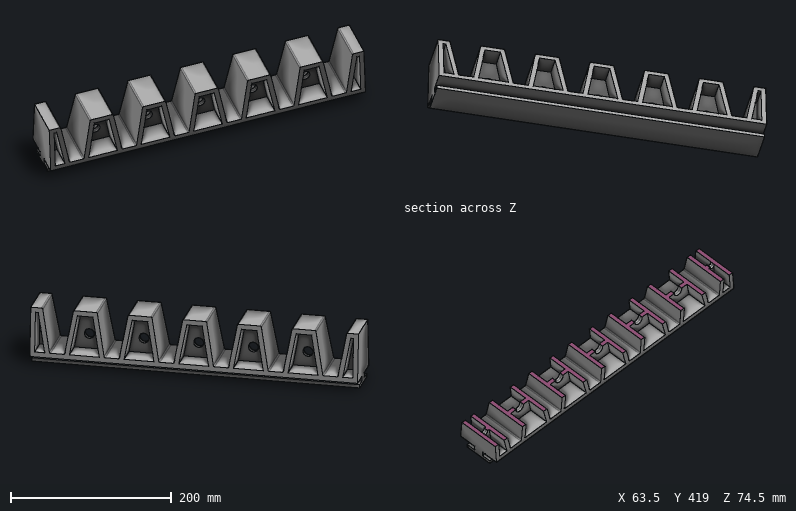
import cadquery as cq

length = 419.0
height = 74.5
base_width = 63.5
crest_width = 52.5

foot_width = 40.0
foot_height = 4.5
neck_width = 14.0
plate_bottom = 11.0

wall = 6.3
valley_floor = plate_bottom + wall
gap_count = 6
pitch = length / gap_count
tooth_crest = 30.5
tooth_root = 50.7
edge_radius = 1.5

pocket_top = height - wall
pocket_top_width = 19.5
pocket_floor_width = 38.0
web_thickness = 6.3

hole_height = 36.5
hole_diameter = 12.5
end_hole_diameter = 6.5
end_hole_inset = wall + end_hole_diameter / 2


def tapered_body():
    """Comb blank: a trapezoid standing on a T-shaped rail, extruded along Y."""
    right_side = [
        (foot_width / 2, 0),
        (foot_width / 2, foot_height),
        (neck_width / 2, foot_height),
        (neck_width / 2, plate_bottom),
        (base_width / 2, plate_bottom),
        (crest_width / 2, height),
    ]
    left_side = [(-x, z) for x, z in reversed(right_side)]
    section = cq.Workplane("XZ").polyline(right_side + left_side).close()
    return section.extrude(length / 2, both=True)


def gap_cutter(center_y):
    """Flared gap between two neighbouring teeth, with a rounded floor."""
    half_floor = (pitch - tooth_root) / 2
    half_mouth = (pitch - tooth_crest) / 2
    outline = [
        (center_y - half_floor, valley_floor),
        (center_y + half_floor, valley_floor),
        (center_y + half_mouth, height),
        (center_y - half_mouth, height),
    ]
    cutter = cq.Workplane("YZ").polyline(outline).close().extrude(base_width / 2, both=True)
    return cutter.edges("|X and <Z").fillet(edge_radius)


def pocket_cutter(center_y):
    """Pair of trapezoidal pockets, one on each side of the central web."""
    outline = [
        (center_y - pocket_floor_width / 2, valley_floor),
        (center_y + pocket_floor_width / 2, valley_floor),
        (center_y + pocket_top_width / 2, pocket_top),
        (center_y - pocket_top_width / 2, pocket_top),
    ]
    prism = cq.Workplane("YZ").polyline(outline).close().extrude(base_width / 2, both=True)
    web = cq.Workplane("XY").box(web_thickness, 2 * length, 2 * height)
    end_walls_limit = cq.Workplane("XY").box(base_width, length - 2 * wall, 2 * height)
    return prism.cut(web).intersect(end_walls_limit)


def web_hole(center_y, diameter):
    """Round hole along X through the central web."""
    profile = cq.Workplane("YZ").center(center_y, hole_height).circle(diameter / 2)
    return profile.extrude(base_width / 2, both=True)


def round_crest_edges(body):
    """Round the crest edges beside the gaps; the outer end edges stay sharp."""
    inner_length = length - 2 * wall
    inner_region = cq.selectors.BoxSelector(
        (-base_width, -inner_length / 2, 0),
        (base_width, inner_length / 2, 2 * height),
    )
    return body.faces(">Z").edges("|X").edges(inner_region).fillet(edge_radius)


gap_centers = [(index + 0.5) * pitch - length / 2 for index in range(gap_count)]
tooth_centers = [index * pitch - length / 2 for index in range(gap_count + 1)]
full_tooth_centers = tooth_centers[1:-1]
end_hole_centers = [end_hole_inset - length / 2, length / 2 - end_hole_inset]

result = tapered_body()

for center in gap_centers:
    result = result.cut(gap_cutter(center))

result = round_crest_edges(result)

for center in tooth_centers:
    result = result.cut(pocket_cutter(center))

for center in full_tooth_centers:
    result = result.cut(web_hole(center, hole_diameter))

for center in end_hole_centers:
    result = result.cut(web_hole(center, end_hole_diameter))